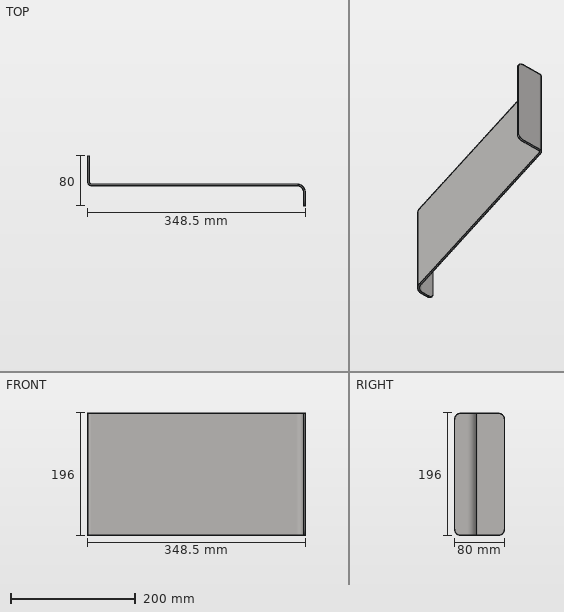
import cadquery as cq
import math

length = 348.5
depth = 80.0
height = 196.0
thickness = 3.0
left_reach = 48.0
left_inner_radius = 3.0
right_inner_radius = 10.5
corner_radius = 10.0

left_outer_radius = left_inner_radius + thickness
right_outer_radius = right_inner_radius + thickness
right_reach = depth - left_reach
right_bend_x = length - right_outer_radius


def on_left_bend(radius):
    """Middle of the left bend, which turns from the panel toward +Y."""
    offset = radius * math.sqrt(0.5)
    return (left_outer_radius - offset, left_outer_radius - offset)


def on_right_bend(radius):
    """Middle of the right bend, which turns from the panel toward -Y."""
    offset = radius * math.sqrt(0.5)
    return (right_bend_x + offset, offset - right_inner_radius)


sheet = (
    cq.Workplane("XY")
    .moveTo(0, left_reach)
    .lineTo(0, left_outer_radius)
    .threePointArc(on_left_bend(left_outer_radius), (left_outer_radius, 0))
    .lineTo(right_bend_x, 0)
    .threePointArc(
        on_right_bend(right_inner_radius),
        (length - thickness, -right_inner_radius),
    )
    .lineTo(length - thickness, -right_reach)
    .lineTo(length, -right_reach)
    .lineTo(length, -right_inner_radius)
    .threePointArc(on_right_bend(right_outer_radius), (right_bend_x, thickness))
    .lineTo(left_outer_radius, thickness)
    .threePointArc(on_left_bend(left_inner_radius), (thickness, left_outer_radius))
    .lineTo(thickness, left_reach)
    .close()
    .extrude(height)
)

result = sheet
for tip_face in (">Y", "<Y"):
    result = result.faces(tip_face).edges("|X").fillet(corner_radius)